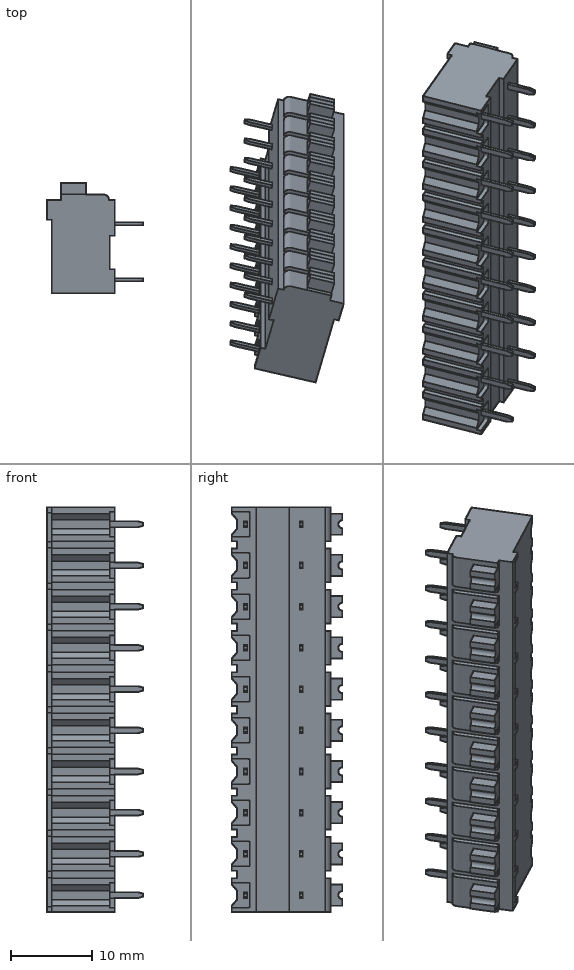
import cadquery as cq

total_height = 49.9
cell_count = 10
cell_height = 4.2
pitch = (total_height - cell_height) / (cell_count - 1)
gap_height = pitch - cell_height

total_depth = 11.9
total_width = 13.65
body_left = 0.6
body_right = 8.4
shoulder_y = 11.55
crown_y = 12.25
crown_left = 1.75
crown_right = 7.7
crown_radius = 0.75

flange_bottom = 10.45
tab_bottom = 9.1
tab_height = 0.75
end_tab_height = 0.65

channel_floor = 7.8
channel_bottom = 3.0
channel_top = 7.1

valley_depth = 0.65
land_height = 0.8
slope_height = 0.75

relief_height = 3.1
relief_depth = 2.25
relief_corner_radius = 0.2

button_right = 4.85
button_height = 2.65
button_clearance = 0.1
button_groove_radius = 0.475

pin_rows_y = (1.7, 8.6)
pin_height = 0.75
pin_thickness = 0.4
pin_tip_height = 0.4
pin_tip_length = 0.65
pin_embedding = 0.5
pin_root = channel_floor - pin_embedding


def box(x0, x1, y0, y1, z0, z1):
    """Block between two opposite corners."""
    return cq.Workplane("XY").box(x1 - x0, y1 - y0, z1 - z0, centered=False).translate((x0, y0, z0))


def centered_span(middle, size):
    """Lower and upper limit of a length centred on a place."""
    return middle - size / 2, middle + size / 2


def make_core():
    """Full-height block with the channel along its +X face."""
    block = box(body_left, body_right, 0, shoulder_y, 0, total_height)
    channel = box(channel_floor, body_right, channel_bottom, channel_top, 0, total_height)
    return block.cut(channel)


def make_flange():
    """Strip on the -X side with end tabs and one tab between each pair of cells."""
    flange = box(0, body_left, flange_bottom, shoulder_y, 0, total_height)
    tab_spans = [(0, end_tab_height), (total_height - end_tab_height, total_height)]
    for index in range(cell_count - 1):
        tab_spans.append(centered_span(index * pitch + cell_height + gap_height / 2, tab_height))
    for z0, z1 in tab_spans:
        flange = flange.union(box(0, body_left, tab_bottom, flange_bottom, z0, z1))
    return flange


def make_crown(z0):
    """Raised part of one cell on the +Y side, rounded on its +X edge and slotted for the button."""
    crown = box(crown_left, crown_right, flange_bottom, crown_y, z0, z0 + cell_height)
    crown = crown.edges(">X and >Y").fillet(crown_radius)
    slot_span = centered_span(z0 + cell_height / 2, button_height + 2 * button_clearance)
    return crown.cut(box(crown_left, button_right, shoulder_y, crown_y, *slot_span))


def make_button(z_mid):
    """Push button with a half-round groove across its top."""
    button = box(crown_left, button_right, shoulder_y, total_width, *centered_span(z_mid, button_height))
    groove = (
        cq.Workplane("YZ", origin=(crown_left, total_width, z_mid))
        .circle(button_groove_radius)
        .extrude(button_right - crown_left)
    )
    return button.cut(groove)


def make_valley(z0):
    """Trapezoidal valley across the -Y face of one cell."""
    outer_low = z0 + land_height
    outer_high = z0 + cell_height - land_height
    return (
        cq.Workplane("YZ", origin=(body_left, 0, 0))
        .polyline([
            (0, outer_low),
            (valley_depth, outer_low + slope_height),
            (valley_depth, outer_high - slope_height),
            (0, outer_high),
        ])
        .close()
        .extrude(body_right - body_left)
    )


def make_relief(z_mid):
    """Pocket around a front pin, with rounded corners at its back wall."""
    relief_span = centered_span(z_mid, relief_height)
    relief = box(channel_floor, body_right, 0, relief_depth, *relief_span)
    return relief.edges("|X and >Y").fillet(relief_corner_radius)


def make_pin(y_mid, z_mid):
    """Flat pin along X, tapered in height at its tip."""
    taper_start = total_depth - pin_tip_length
    return (
        cq.Workplane("XZ", origin=(0, y_mid, z_mid))
        .polyline([
            (pin_root, -pin_height / 2),
            (taper_start, -pin_height / 2),
            (total_depth, -pin_tip_height / 2),
            (total_depth, pin_tip_height / 2),
            (taper_start, pin_height / 2),
            (pin_root, pin_height / 2),
        ])
        .close()
        .extrude(pin_thickness / 2, both=True)
    )


result = make_core().union(make_flange())

for index in range(cell_count):
    cell_bottom = index * pitch
    cell_middle = cell_bottom + cell_height / 2
    result = result.union(make_crown(cell_bottom)).union(make_button(cell_middle))
    result = result.cut(make_valley(cell_bottom))
    result = result.cut(make_relief(cell_middle))
    for row_y in pin_rows_y:
        result = result.union(make_pin(row_y, cell_middle))

for index in range(cell_count - 1):
    slot_bottom = index * pitch + cell_height
    result = result.cut(box(body_left, body_right, 0, valley_depth, slot_bottom, slot_bottom + gap_height))